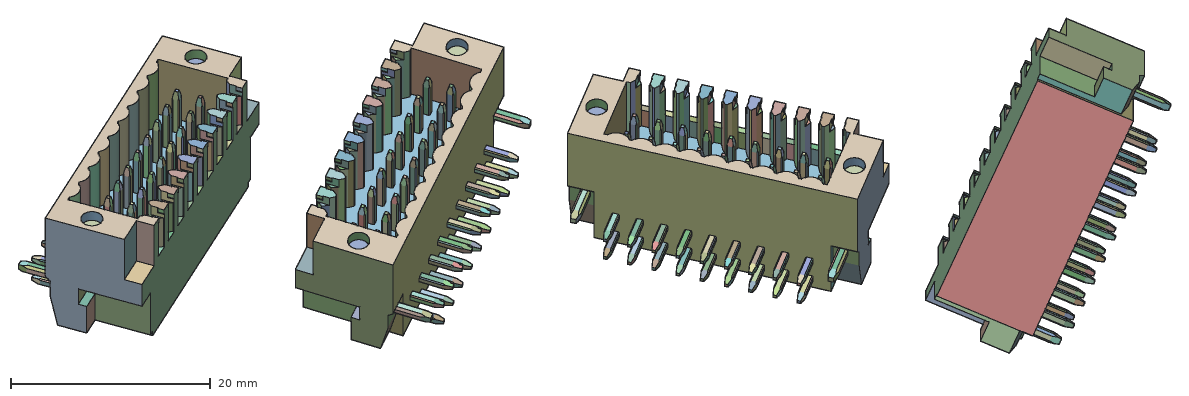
import cadquery as cq

length = 30.42
depth = 10.5
height = 14.2
half_length = length / 2
sides = (-1, 1)

columns = 9
column_span = 20.32
pitch = column_span / (columns - 1)
pin_width = 0.8
pin_bevel = 0.12
pin_tip_width = 0.35
pin_taper = 1.0
tail_reach = 3.5
tail_low_z = 1.25
tail_rows_z = (tail_low_z, tail_low_z + pitch)
contact_back_x = 3.68
contact_rows_x = (contact_back_x, contact_back_x + pitch)
contact_top_z = 12.2
pin_embed = 0.6
column_ys = [i * pitch - column_span / 2 for i in range(columns)]

cavity_back_x = 1.0
cavity_front_x = 8.58
cavity_half = 11.7
cavity_floor_z = 7.0
scallop_half = 1.15
scallop_rise = 0.58

slot_half = 0.75
slot_mouth_half = 0.67
mouth_x = 9.8
mouth_height = 0.58
nose_x = 9.05
nose_half = 1.15
sill_z = 9.28
rib_apex = 0.35
rib_front_x = 10.37
rib_drop = 1.15

corner_notch_length = 3.13
corner_notch_height = 5.3
hole_diameter = 2.2
hole_depth = 1.15
hole_x = 4.35
end_inset = 1.7

leg_width = 2.77
leg_bottom_z = 0.55
leg_back_x = 0.55
leg_top_z = 6.57
leg_slope_z = 4.05
leg_foot_x = 1.35
relief_depth = 2.2
relief_top_z = 6.05
relief_back_x = 3.6
relief_step_z = 4.05
relief_step_x = 4.5
anchor_z = 5.55
anchor_width = 1.03
anchor_bevel = 0.25
anchor_tip_width = 0.58


def end_prism(points, width, side):
    """Extrude an XZ outline inward from one end face of the housing."""
    start_y = -half_length if side < 0 else half_length - width
    return cq.Workplane("XZ", origin=(0, start_y, 0)).polyline(points).close().extrude(-width)


def slab(x_range, y_range, z_range):
    """Axis-aligned block spanning the given ranges."""
    size = [high - low for low, high in (x_range, y_range, z_range)]
    corner = (x_range[0], y_range[0], z_range[0])
    return cq.Workplane("XY").box(*size, centered=False).translate(corner)


def pin(pin_length, width, bevel, tip_width):
    """Upright bevelled square pin standing on the origin, with a tapered tip."""
    shank = pin_length - pin_taper
    bar = cq.Workplane("XY").rect(width, width).extrude(pin_length).edges("|Z").chamfer(bevel)
    envelope = cq.Workplane("XY").rect(width, width).extrude(shank)
    tip = (
        cq.Workplane("XY", origin=(0, 0, shank))
        .rect(width, width)
        .workplane(offset=pin_taper)
        .rect(tip_width, tip_width)
        .loft()
    )
    return bar.intersect(envelope.union(tip))


def cavity():
    """Contact cavity whose back wall bulges inward at every column."""
    outline = cq.Workplane("XY", origin=(0, 0, cavity_floor_z)).moveTo(cavity_back_x, -cavity_half)
    for y in column_ys:
        outline = outline.lineTo(cavity_back_x, y - scallop_half).threePointArc(
            (cavity_back_x + scallop_rise, y), (cavity_back_x, y + scallop_half)
        )
    outline = outline.lineTo(cavity_back_x, cavity_half).lineTo(cavity_front_x, cavity_half)
    return outline.lineTo(cavity_front_x, -cavity_half).close().extrude(height - cavity_floor_z)


def front_slot():
    """Slot through the front wall at y = 0: flared inside, with a sill, side ribs and a narrow mouth."""
    throat_points = [
        (cavity_front_x, -nose_half),
        (nose_x, -slot_half),
        (mouth_x, -slot_half),
        (mouth_x, slot_half),
        (nose_x, slot_half),
        (cavity_front_x, nose_half),
    ]
    throat = (
        cq.Workplane("XY", origin=(0, 0, cavity_floor_z))
        .polyline(throat_points)
        .close()
        .extrude(height - cavity_floor_z)
    )
    mouth_bottom_z = height - mouth_height
    exit_slot = slab((mouth_x, depth), (-slot_half, slot_half), (sill_z, mouth_bottom_z))
    mouth = slab((mouth_x, depth), (-slot_mouth_half, slot_mouth_half), (mouth_bottom_z, height))
    slot = throat.union(exit_slot).union(mouth)
    rib_height = height - rib_drop - cavity_floor_z
    for side in sides:
        rib_points = [
            (nose_x, side * slot_half),
            (mouth_x, side * (slot_half - rib_apex)),
            (rib_front_x, side * slot_half),
        ]
        rib = cq.Workplane("XY", origin=(0, 0, cavity_floor_z)).polyline(rib_points).close()
        slot = slot.cut(rib.extrude(rib_height))
    return slot


def cut_end(body, side):
    """Shape one end: leg outline, relief in front of the leg, corner notch and blind hole."""
    behind_leg = [
        (0, 0),
        (depth, 0),
        (depth, leg_bottom_z),
        (leg_foot_x, leg_bottom_z),
        (leg_back_x, leg_slope_z),
        (leg_back_x, leg_top_z - leg_back_x),
        (0, leg_top_z),
    ]
    relief = [
        (depth, 0),
        (depth, relief_top_z),
        (relief_back_x, relief_top_z),
        (relief_back_x, relief_step_z),
        (relief_step_x, relief_step_z),
        (relief_step_x, 0),
    ]
    notch_bottom_z = height - corner_notch_height
    notch = [
        (cavity_front_x, notch_bottom_z),
        (depth, notch_bottom_z),
        (depth, height),
        (cavity_front_x, height),
    ]
    hole = (
        cq.Workplane("XY", origin=(hole_x, side * (half_length - end_inset), height))
        .circle(hole_diameter / 2)
        .extrude(-hole_depth)
    )
    body = body.cut(end_prism(behind_leg, leg_width, side))
    body = body.cut(end_prism(relief, relief_depth, side))
    return body.cut(end_prism(notch, corner_notch_length, side)).cut(hole)


result = slab((0, depth), (-half_length, half_length), (0, height)).cut(cavity())
slot = front_slot()
for y in column_ys:
    result = result.cut(slot.translate((0, y, 0)))
for side in sides:
    result = cut_end(result, side)

contact_bottom_z = cavity_floor_z - pin_embed
contact = pin(contact_top_z - contact_bottom_z, pin_width, pin_bevel, pin_tip_width)
tail = pin(tail_reach + pin_embed, pin_width, pin_bevel, pin_tip_width)
tail = tail.rotate((0, 0, 0), (0, 1, 0), -90).translate((pin_embed, 0, 0))
for y in column_ys:
    for x in contact_rows_x:
        result = result.union(contact.translate((x, y, contact_bottom_z)))
    for z in tail_rows_z:
        result = result.union(tail.translate((0, y, z)))

anchor_root_x = leg_back_x + pin_embed
anchor = pin(tail_reach + anchor_root_x, anchor_width, anchor_bevel, anchor_tip_width)
anchor = anchor.rotate((0, 0, 0), (0, 1, 0), -90)
for side in sides:
    result = result.union(anchor.translate((anchor_root_x, side * (half_length - end_inset), anchor_z)))